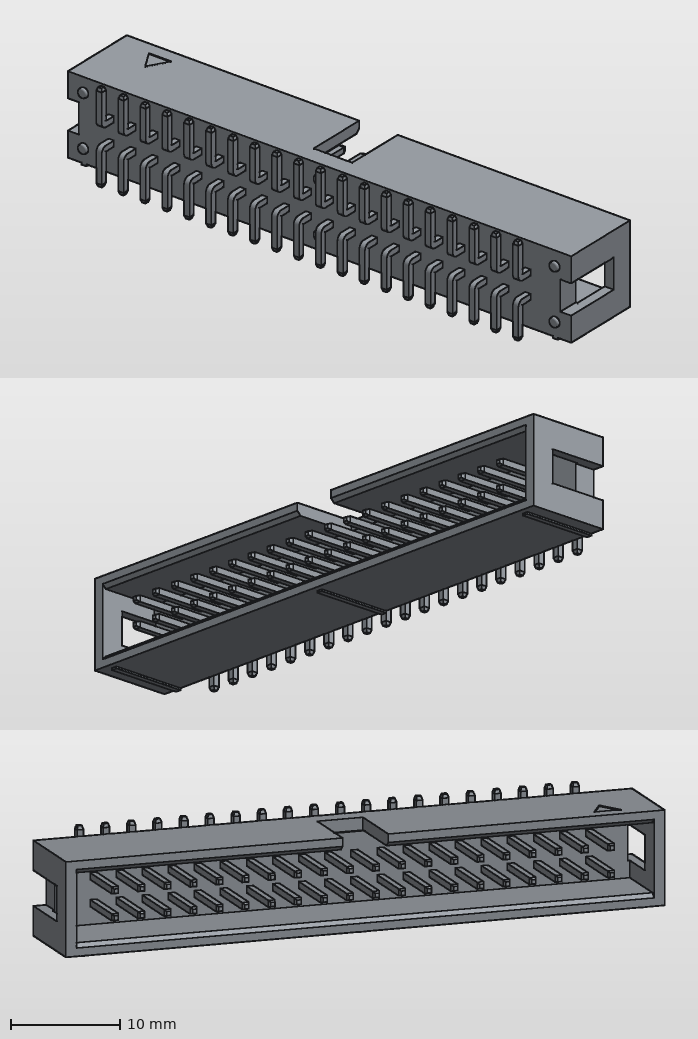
import cadquery as cq
import math


housing_length = 58.3
housing_depth = 8.8
housing_height = 9.0
end_wall = 1.05
side_wall = 1.2
floor_thickness = 2.3
mouth_chamfer = 0.4
cavity_length = housing_length - 2 * end_wall
cavity_height = housing_height - 2 * side_wall

window_height = 3.35
window_front_wall = 2.45
window_recess = 1.25

notch_width = 4.45
notch_depth = 6.8

triangle_side = 2.6
triangle_front_gap = 1.5
triangle_sink = 0.1

pin_columns = 20
pitch = 2.54
pin_size = 0.64
pin_front_gap = 0.3
tip_length = 0.35
tip_size = 0.4
tail_reach = 1.82
tail_half_span = 5.15
first_pin_x = -(pin_columns - 1) * pitch / 2

support_end_gap = 1.85
support_x_offset = housing_length / 2 - support_end_gap
support_xs = (-support_x_offset, 0, support_x_offset)
standoff_z = 2.9
standoff_diameter = 1.05
standoff_height = 0.35
standoff_rounding = 0.2
rib_width = 0.6
rib_height = 0.2
rib_front_gap = 0.7


def block(x_range, y_range, z_range):
    """Axis-aligned box between the given limits."""
    (x0, x1), (y0, y1), (z0, z1) = x_range, y_range, z_range
    return cq.Workplane("XY").box(x1 - x0, y1 - y0, z1 - z0, centered=False).translate((x0, y0, z0))


def pin_tip():
    """Square frustum rising along +Z from the origin."""
    base = cq.Workplane("XY").rect(pin_size, pin_size)
    return base.workplane(offset=tip_length).rect(tip_size, tip_size).loft(ruled=True)


def shell():
    """Hollow housing, open at the front, with a bevelled mouth."""
    half_length = housing_length / 2
    half_height = housing_height / 2
    body = block((-half_length, half_length), (0, housing_depth), (-half_height, half_height))
    half_cavity = cavity_length / 2
    half_gap = cavity_height / 2
    cavity = block((-half_cavity, half_cavity), (floor_thickness, housing_depth), (-half_gap, half_gap))
    lips = []
    for side in (-1, 1):
        lip_z = side * half_gap
        lip = (
            cq.Workplane("YZ")
            .polyline([
                (housing_depth - mouth_chamfer, lip_z),
                (housing_depth, lip_z),
                (housing_depth, lip_z + side * mouth_chamfer),
            ])
            .close()
            .extrude(half_cavity, both=True)
        )
        lips.append(lip)
    return body.cut(cavity).cut(lips[0]).cut(lips[1])


def end_window(side):
    """Slot through one end wall that also recesses the end of the floor."""
    outer = side * housing_length / 2
    inner = outer - side * window_recess
    half_window = window_height / 2
    return block(
        (min(outer, inner), max(outer, inner)),
        (0, housing_depth - window_front_wall),
        (-half_window, half_window),
    )


def notch():
    """Cutter for the polarising notch through the upper wall."""
    return block(
        (-notch_width / 2, notch_width / 2),
        (housing_depth - notch_depth, housing_depth),
        (cavity_height / 2, housing_height / 2),
    )


def pin_one_triangle():
    """Equilateral cutter pointing to the rear above the first pin column."""
    front_y = housing_depth - triangle_front_gap
    apex_y = front_y - triangle_side * math.sqrt(3) / 2
    return (
        cq.Workplane("XY", origin=(0, 0, housing_height / 2 - triangle_sink))
        .polyline([
            (first_pin_x - triangle_side / 2, front_y),
            (first_pin_x + triangle_side / 2, front_y),
            (first_pin_x, apex_y),
        ])
        .close()
        .extrude(triangle_sink)
    )


def standoff(x, z):
    """Round button with a rounded rim on the rear face."""
    return (
        cq.Workplane("XZ", origin=(x, 0, z))
        .circle(standoff_diameter / 2)
        .extrude(standoff_height)
        .faces("<Y")
        .edges()
        .fillet(standoff_rounding)
    )


def crush_rib(x):
    """Narrow rib along the underside, ending short of the front."""
    underside = -housing_height / 2
    return block(
        (x - rib_width / 2, x + rib_width / 2),
        (0, housing_depth - rib_front_gap),
        (underside - rib_height, underside),
    )


def upper_pin():
    """Bent square pin of the upper row, centred on X = 0, with tapered ends."""
    row_z = pitch / 2
    low_z = row_z - pin_size / 2
    high_z = row_z + pin_size / 2
    outer_y = -tail_reach
    inner_y = outer_y + pin_size
    front_y = housing_depth - pin_front_gap - tip_length
    tail_z = tail_half_span - tip_length
    bend_mid = pin_size * math.sqrt(0.5)
    wire = (
        cq.Workplane("YZ")
        .moveTo(front_y, low_z)
        .lineTo(inner_y, low_z)
        .threePointArc((inner_y - bend_mid, high_z - bend_mid), (outer_y, high_z))
        .lineTo(outer_y, tail_z)
        .lineTo(inner_y, tail_z)
        .lineTo(inner_y, high_z)
        .lineTo(front_y, high_z)
        .close()
        .extrude(pin_size / 2, both=True)
    )
    tip = pin_tip()
    tail_tip = tip.translate((0, outer_y + pin_size / 2, tail_z))
    front_tip = tip.rotate((0, 0, 0), (1, 0, 0), -90).translate((0, front_y, row_z))
    return wire.union(tail_tip).union(front_tip)


def add_pins(body):
    """Fuse both rows of pins to the housing; the lower row mirrors the upper one."""
    upper = upper_pin()
    lower = upper.mirror("XY")
    pins = []
    for column in range(pin_columns):
        shift = (first_pin_x + column * pitch, 0, 0)
        pins.append(upper.translate(shift).val())
        pins.append(lower.translate(shift).val())
    return body.union(cq.Workplane("XY").newObject([cq.Compound.makeCompound(pins)]))


housing = shell().cut(end_window(-1)).cut(end_window(1)).cut(notch()).cut(pin_one_triangle())
for support_x in support_xs:
    housing = housing.union(crush_rib(support_x))
    for support_z in (-standoff_z, standoff_z):
        housing = housing.union(standoff(support_x, support_z))

result = add_pins(housing)